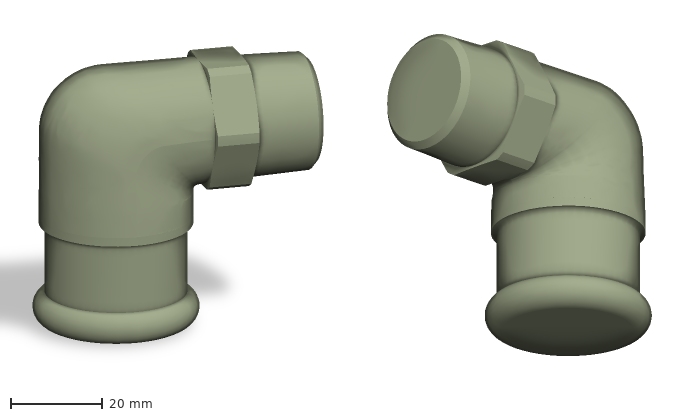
import cadquery as cq
import math

bead_diameter = 36.65
bead_height = 7.5
socket_diameter = 31.4
collar_diameter = 34.0
collar_bottom = 23.05
collar_top = 25.05
collar_root_fillet = 1.0

total_height = 59.0
total_length = 62.35
hex_flats = 28.0
hex_corner_diameter = 31.05
hex_turn = 30
hex_start = 18.65
hex_end = 28.6
hex_chamfer_drop = 0.25
neck_diameter = 28.0
neck_start = 17.9
leg_height = total_height - hex_flats / 2
leg_end = total_length - bead_diameter / 2

thread_diameter = 26.9
thread_start = 30.1
thread_taper = 1 / 16
thread_chamfer = 1.45

outer_bend_radius = 14.35
inner_bend_radius = neck_start - collar_diameter / 2
pivot_y = neck_start
pivot_z = leg_height - neck_diameter / 2 - inner_bend_radius
bend_start_width = 33.35
straight_steps = 4
bend_steps = 18
width_fade = 1.3


def socket_leg():
    """Round leg with the seal bead at its foot and the collar under the elbow."""
    bead_radius = bead_height / 2
    bead_centre = bead_diameter / 2 - bead_radius
    socket_radius = socket_diameter / 2
    bead_joint_z = bead_radius + math.sqrt(bead_radius**2 - (socket_radius - bead_centre) ** 2)
    fillet_dip = collar_root_fillet * (1 - math.sqrt(0.5))
    return (
        cq.Workplane("XZ")
        .lineTo(bead_centre, 0)
        .threePointArc((bead_diameter / 2, bead_radius), (socket_radius, bead_joint_z))
        .lineTo(socket_radius, collar_bottom - collar_root_fillet)
        .threePointArc(
            (socket_radius + fillet_dip, collar_bottom - fillet_dip),
            (socket_radius + collar_root_fillet, collar_bottom),
        )
        .lineTo(collar_diameter / 2, collar_bottom)
        .lineTo(collar_diameter / 2, collar_top)
        .lineTo(0, collar_top)
        .close()
        .revolve(360, (0, 0, 0), (0, 1, 0))
    )


def outer_reach(angle):
    """Distance from the pivot to the back of the elbow, at an angle above horizontal."""
    to_back = pivot_y + collar_diameter / 2
    to_top = total_height - pivot_z
    to_bend_y = to_back - outer_bend_radius
    to_bend_z = to_top - outer_bend_radius
    if angle <= math.atan2(to_bend_z, to_back):
        return to_back / math.cos(angle)
    if angle >= math.atan2(to_top, to_bend_y):
        return to_top / math.sin(angle)
    along = to_bend_y * math.cos(angle) + to_bend_z * math.sin(angle)
    across = to_bend_y * math.sin(angle) - to_bend_z * math.cos(angle)
    return along + math.sqrt(outer_bend_radius**2 - across**2)


def ellipse_section(centre, normal, width, depth):
    """Elliptical wire whose width lies along X."""
    plane = cq.Plane(centre, (1, 0, 0), normal)
    return cq.Workplane(plane).ellipse(width / 2, depth / 2).wires().val()


def elbow():
    """Smooth bend blending the collar circle into the neck circle through ellipses."""
    sections = []
    for step in range(straight_steps):
        share = step / straight_steps
        width = collar_diameter + share * (bend_start_width - collar_diameter)
        height = collar_top + share * (pivot_z - collar_top)
        sections.append(ellipse_section((0, 0, height), (0, 0, 1), width, collar_diameter))
    for step in range(bend_steps + 1):
        share = step / bend_steps
        angle = share * math.pi / 2
        reach = outer_reach(angle)
        middle = (reach + inner_bend_radius) / 2
        centre = (0, pivot_y - middle * math.cos(angle), pivot_z + middle * math.sin(angle))
        normal = (0, math.sin(angle), math.cos(angle))
        width = neck_diameter + (bend_start_width - neck_diameter) * (1 - share) ** width_fade
        sections.append(ellipse_section(centre, normal, width, reach - inner_bend_radius))
    return cq.Workplane(cq.Solid.makeLoft(sections))


def turned_on_leg(points):
    """Revolve (radius, Y) points around the axis of the threaded leg."""
    return (
        cq.Workplane("XY")
        .polyline(points)
        .close()
        .revolve(360, (0, 0, 0), (0, 1, 0))
        .translate((0, 0, leg_height))
    )


def hexagon():
    """Spanner hexagon with rounded corners and shallow chamfers at both ends."""
    prism = (
        cq.Workplane("XZ", origin=(0, hex_start, leg_height))
        .polygon(6, hex_flats, circumscribed=True)
        .extrude(hex_start - hex_end)
        .rotate((0, 0, leg_height), (0, 1, leg_height), hex_turn)
    )
    flat_radius = hex_flats / 2
    corner_radius = hex_corner_diameter / 2
    envelope = turned_on_leg([
        (0, hex_start),
        (flat_radius, hex_start),
        (corner_radius, hex_start + hex_chamfer_drop),
        (corner_radius, hex_end - hex_chamfer_drop),
        (flat_radius, hex_end),
        (0, hex_end),
    ])
    return prism.intersect(envelope)


def neck_and_thread():
    """Plain neck behind the hexagon and the tapered thread in front of it."""
    neck = turned_on_leg([
        (0, neck_start),
        (neck_diameter / 2, neck_start),
        (neck_diameter / 2, hex_start),
        (0, hex_start),
    ])
    thread_radius = thread_diameter / 2
    chamfer_start = leg_end - thread_chamfer
    tip_radius = thread_radius - (chamfer_start - thread_start) * thread_taper / 2
    thread = turned_on_leg([
        (0, hex_end),
        (thread_radius, hex_end),
        (thread_radius, thread_start),
        (tip_radius, chamfer_start),
        (tip_radius - thread_chamfer, leg_end),
        (0, leg_end),
    ])
    return neck, thread


neck, thread = neck_and_thread()
result = socket_leg().union(elbow()).union(neck).union(hexagon()).union(thread)